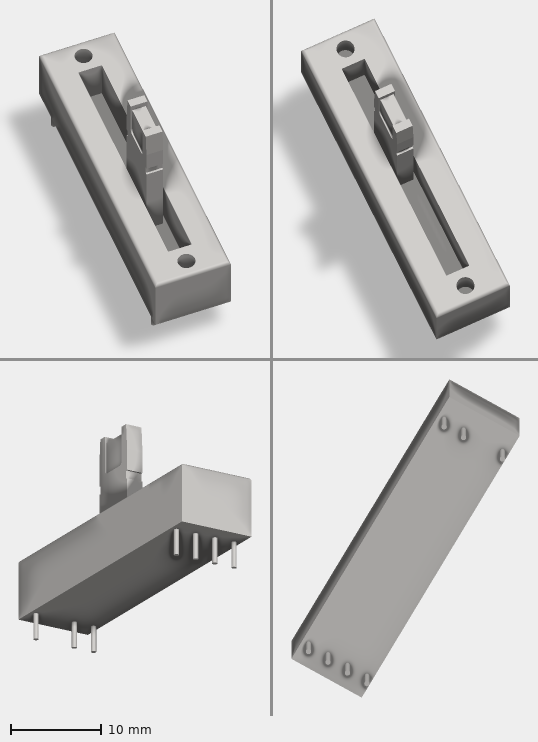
import cadquery as cq

housing_length = 35.0
housing_width = 9.0
housing_height = 7.0
rim_radius = 0.4

slot_length = 27.1
slot_width = 2.8
slot_depth = 5.0
hole_diameter = 2.0
hole_depth = 3.0
hole_offset = 15.5

slider_x = 3.0
slider_width = 5.95
slider_thickness = 2.0
slider_top = 18.2
slider_bottom = housing_height - slot_depth
tip_width = 5.5
taper_length = 3.0
notch_drop = 5.5
notch_height = 1.0
notch_depth = 0.25

fork_width = 3.6
fork_depth = 4.5
fork_radius = 0.5
web_thickness = 1.6
web_drop = 0.75

pin_diameter = 0.6
pin_length = 3.0
pin_offset_x = 15.0
pin_pitch = 2.5
pin_rows = [(row - 1.5) * pin_pitch for row in range(4)]
left_pins = [(-pin_offset_x, y) for y in pin_rows]
right_pins = [(pin_offset_x, y) for y in pin_rows if y != pin_rows[2]]


def make_housing():
    box = cq.Workplane("XY").box(
        housing_length, housing_width, housing_height, centered=(True, True, False)
    )
    rounded = box.faces(">Z").edges().fillet(rim_radius)
    top = cq.Workplane("XY").workplane(offset=housing_height)
    slot = top.rect(slot_length, slot_width).extrude(-slot_depth)
    hole_points = [(-hole_offset, 0), (hole_offset, 0)]
    holes = top.pushPoints(hole_points).circle(hole_diameter / 2).extrude(-hole_depth)
    return rounded.cut(slot).cut(holes)


def block_below(width, thickness, top, height):
    """Block centred on the slider, reaching down from the given top level."""
    return (
        cq.Workplane("XY", origin=(slider_x, 0, top - height))
        .box(width, thickness, height, centered=(True, True, False))
    )


def make_slider():
    half_width = slider_width / 2
    half_tip = tip_width / 2
    half_neck = half_width - notch_depth
    taper_start = slider_top - taper_length
    notch_top = slider_top - notch_drop
    notch_bottom = notch_top - notch_height
    right_side = [
        (half_width, slider_bottom),
        (half_width, notch_bottom),
        (half_neck, notch_bottom),
        (half_neck, notch_top),
        (half_width, notch_top),
        (half_width, taper_start),
        (half_tip, slider_top),
    ]
    left_side = [(-x, z) for x, z in reversed(right_side)]
    lever = (
        cq.Workplane("XZ", origin=(slider_x, 0, 0))
        .polyline(right_side + left_side)
        .close()
        .extrude(slider_thickness / 2, both=True)
    )

    fork_gap = (
        block_below(fork_width, slider_thickness, slider_top, fork_depth)
        .edges("|Y and <Z")
        .fillet(fork_radius)
    )
    web = block_below(fork_width, web_thickness, slider_top - web_drop, fork_depth - web_drop)
    return lever.cut(fork_gap.cut(web))


def make_pin(x, y):
    return cq.Workplane("XY", origin=(x, y, 0)).circle(pin_diameter / 2).extrude(-pin_length)


housing = make_housing()
slider = make_slider()
pins = [make_pin(x, y) for x, y in left_pins + right_pins]

result = cq.Compound.makeCompound([housing.val(), slider.val(), *[pin.val() for pin in pins]])